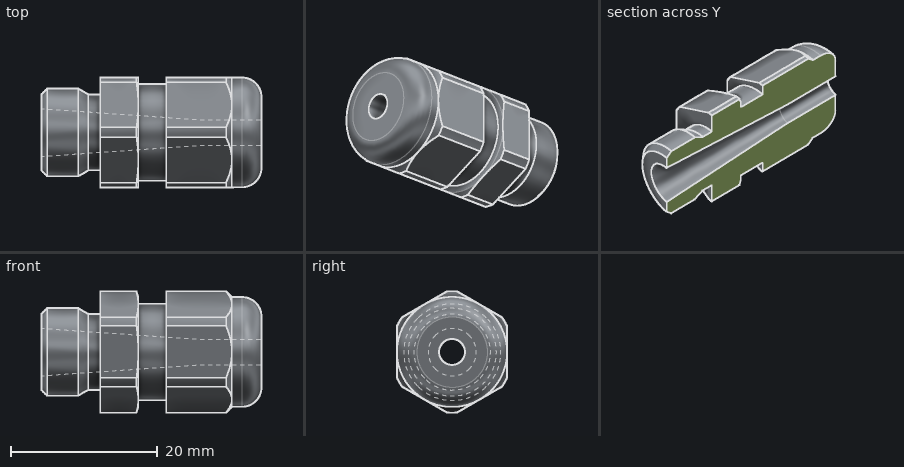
import cadquery as cq
import math

thread_end = 5.0
neck_end = 8.0
body_hex_end = 13.2
cap_start = 17.0
cap_hex_end = 25.95
dome_start = 27.3
total_length = 30.0

thread_diameter = 12.0
neck_diameter = 10.38
collar_diameter = 13.2
dome_diameter = 15.0
across_flats = 15.0
across_corners = 16.59

runout_angle = 30.0
body_chamfer_length = 0.25
cap_chamfer_length = (across_corners - across_flats) / 2

bore_diameter = 6.5
passage_diameter = 3.5
bore_taper_angle = 4.0


def cylinder(diameter, start, end):
    """Round bar on the X axis between two stations."""
    return cq.Workplane("YZ", origin=(start, 0, 0)).circle(diameter / 2).extrude(end - start)


def chamfered_hexagon(start, end, chamfer_length):
    """Hexagon with flats facing +-Y, corners turned round and the +X end chamfered down to the flats."""
    hexagon_diameter = across_flats / math.cos(math.radians(30))
    prism = (
        cq.Workplane("YZ", origin=(start, 0, 0))
        .transformed(rotate=(0, 0, 90))
        .polygon(6, hexagon_diameter)
        .extrude(end - start)
    )
    turned_blank = (
        cq.Workplane("XY")
        .moveTo(start, 0)
        .lineTo(start, across_corners / 2)
        .lineTo(end - chamfer_length, across_corners / 2)
        .lineTo(end, across_flats / 2)
        .lineTo(end, 0)
        .close()
        .revolve(360, (0, 0, 0), (1, 0, 0))
    )
    return prism.intersect(turned_blank)


def threaded_shank():
    """Thread envelope with a 45 degree lead-in and a conical run-out to the neck."""
    thread_radius = thread_diameter / 2
    neck_radius = neck_diameter / 2
    thread_depth = thread_radius - neck_radius
    runout_length = thread_depth / math.tan(math.radians(runout_angle))
    return (
        cq.Workplane("XY")
        .lineTo(0, neck_radius)
        .lineTo(thread_depth, thread_radius)
        .lineTo(thread_end, thread_radius)
        .lineTo(thread_end + runout_length, neck_radius)
        .lineTo(neck_end, neck_radius)
        .lineTo(neck_end, 0)
        .close()
        .revolve(360, (0, 0, 0), (1, 0, 0))
    )


def dome():
    """Round cap end with a full quarter-round at its outer edge."""
    dome_radius = total_length - dome_start
    return cylinder(dome_diameter, cap_hex_end, total_length).faces(">X").edges().fillet(dome_radius)


def passage():
    """Slender cone from the threaded end, followed by a straight cable hole through the cap end."""
    mouth_radius = bore_diameter / 2
    hole_radius = passage_diameter / 2
    taper_length = (mouth_radius - hole_radius) / math.tan(math.radians(bore_taper_angle))
    return (
        cq.Workplane("XY")
        .lineTo(0, mouth_radius)
        .lineTo(taper_length, hole_radius)
        .lineTo(total_length, hole_radius)
        .lineTo(total_length, 0)
        .close()
        .revolve(360, (0, 0, 0), (1, 0, 0))
    )


body_hex = chamfered_hexagon(neck_end, body_hex_end, body_chamfer_length)
collar = cylinder(collar_diameter, body_hex_end, cap_start)
cap_hex = chamfered_hexagon(cap_start, cap_hex_end, cap_chamfer_length)

result = threaded_shank().union(body_hex).union(collar).union(cap_hex).union(dome()).cut(passage())